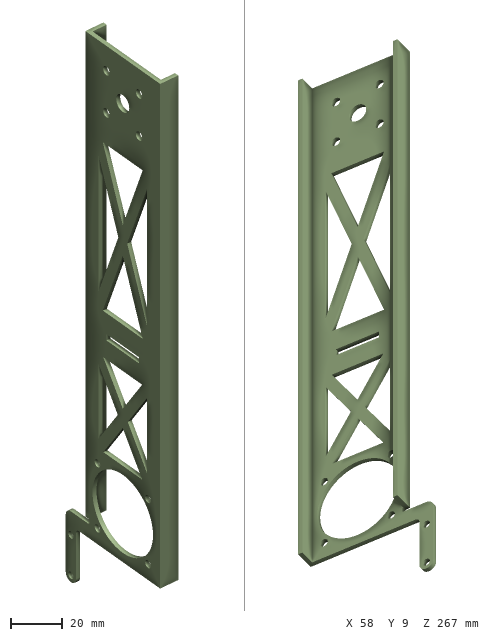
import cadquery as cq
import math

total_height = 267.0
total_width = 58.0
channel_width = 46.0
channel_depth = 9.0
channel_bottom = 27.0
sheet = 2.0
half_width = channel_width / 2

arm_width = 6.5
arm_top = channel_bottom + 6.7
arm_left = half_width - total_width
arm_right = arm_left + arm_width
arm_center = arm_left + arm_width / 2
arm_outer_radius = 3.2
arm_inner_radius = 2.0
arm_hole_diameter = 3.2
arm_hole_heights = (3.2, 22.5)

relief_height = 2.5
relief_depth = 2.7
relief_top = arm_top + relief_height

mount_center = 245.2
mount_bore_diameter = 8.0
mount_hole_diameter = 4.0
mount_pitch = 20.0

fan_center = 50.0
fan_diameter = 37.0
fan_hole_diameter = 3.5
fan_pitch = 31.0

window_width = 30.0
strut_width = 5.0
upper_window_center = 180.0
upper_window_height = 80.0
lower_window_center = 95.3
lower_window_height = 45.0
slot_center = 128.5
slot_width = 20.0
slot_height = 3.0


def block(left, right, front, back, bottom, top):
    """Box given by its limits along X, Y and Z."""
    size = (right - left, back - front, top - bottom)
    return cq.Workplane("XY").box(*size, centered=False).translate((left, front, bottom))


def front_plane(x, z):
    """Sketch plane on the front face; a negative extrusion goes into the sheet."""
    return cq.Workplane("XZ", origin=(x, 0, z))


def round_holes(points, diameter):
    return front_plane(0, 0).pushPoints(points).circle(diameter / 2).extrude(-sheet)


def square_pattern(center, pitch):
    half = pitch / 2
    return [(x, center + z) for x in (-half, half) for z in (-half, half)]


def braced_window(center, height):
    """Rectangular opening crossed by two diagonal struts."""
    opening = front_plane(0, center).rect(window_width, height).extrude(-sheet)
    strut_length = math.hypot(window_width, height) + 2 * strut_width
    angle = math.degrees(math.atan2(height, window_width))
    for turn in (-angle, angle):
        strut = front_plane(0, center).rect(strut_length, strut_width).extrude(-sheet)
        opening = opening.cut(strut.rotate((0, 0, center), (0, 1, center), turn))
    return opening


def channel():
    """Web with two rear flanges; the left one stops above the bend relief."""
    web = block(-half_width, half_width, 0, sheet, channel_bottom, total_height)
    left = block(-half_width, sheet - half_width, 0, channel_depth, relief_top, total_height)
    right = block(half_width - sheet, half_width, 0, channel_depth, channel_bottom, total_height)
    return web.union(left).union(right)


def arm():
    """Strip that leaves the web sideways, turns down and ends in a half circle."""
    end_radius = arm_width / 2
    return (
        front_plane(0, 0)
        .moveTo(-half_width, arm_top)
        .lineTo(arm_left + arm_outer_radius, arm_top)
        .radiusArc((arm_left, arm_top - arm_outer_radius), -arm_outer_radius)
        .lineTo(arm_left, end_radius)
        .threePointArc((arm_center, 0), (arm_right, end_radius))
        .lineTo(arm_right, channel_bottom - arm_inner_radius)
        .radiusArc((arm_right + arm_inner_radius, channel_bottom), arm_inner_radius)
        .lineTo(-half_width, channel_bottom)
        .close()
        .extrude(-sheet)
    )


def bend_relief():
    """Notch with a round inner end, open to the left side of the web."""
    length = 2 * relief_depth
    return (
        front_plane(-half_width, arm_top + relief_height / 2)
        .slot2D(length, relief_height)
        .extrude(-sheet)
    )


def cable_slot():
    return front_plane(0, slot_center).rect(slot_width, slot_height).extrude(-sheet)


cutouts = [
    bend_relief(),
    round_holes([(0, mount_center)], mount_bore_diameter),
    round_holes(square_pattern(mount_center, mount_pitch), mount_hole_diameter),
    braced_window(upper_window_center, upper_window_height),
    cable_slot(),
    braced_window(lower_window_center, lower_window_height),
    round_holes([(0, fan_center)], fan_diameter),
    round_holes(square_pattern(fan_center, fan_pitch), fan_hole_diameter),
    round_holes([(arm_center, z) for z in arm_hole_heights], arm_hole_diameter),
]

result = channel().union(arm())
for cutout in cutouts:
    result = result.cut(cutout)